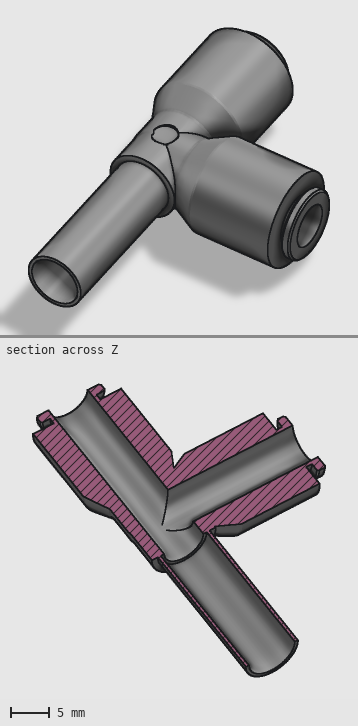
import cadquery as cq
import math


socket_diameter = 13.5
socket_radius = socket_diameter / 2
collar_end = 22.1
body_end = 19.95
shoulder_start = 4.4
shoulder_end = 7.95
shoulder_blend = 0.75
collar_flange_width = 1.3
collar_flange_radius = 4.95
collar_flange_edge = 0.25
collar_stem_radius = 3.6

neck_radius = 5.0
tail_radius = 4.9
tail_taper_length = 0.45
neck_bottom = -5.45

overall_length = 48.45
tube_end = collar_end - overall_length
tube_diameter = 8.0
tube_radius = tube_diameter / 2
tube_inner_radius = 3.5

bore_diameter = 5.95
bore_radius = bore_diameter / 2
recess_radius = 1.75
recess_floor = math.sqrt(neck_radius**2 - recess_radius**2)


def cylinder_along_y(radius, start, end):
    plane = cq.Workplane("XZ", origin=(0, start, 0))
    return plane.circle(radius).extrude(start - end)


def socket():
    """Solid neck, conical shoulder, socket body and release collar along +Y."""
    body = (
        cq.Workplane("XY")
        .moveTo(0, 0)
        .lineTo(neck_radius, 0)
        .lineTo(neck_radius, shoulder_start)
        .lineTo(socket_radius, shoulder_end)
        .lineTo(socket_radius, body_end)
        .lineTo(0, body_end)
        .close()
        .revolve(360, (0, 0, 0), (0, 1, 0))
    )
    body_mid = (shoulder_end + body_end) / 2
    near_shoulder = cq.selectors.BoxSelector(
        (-socket_radius, shoulder_start / 2, -socket_radius),
        (socket_radius, body_mid, socket_radius),
        boundingbox=False,
    )
    shoulder_rims = body.edges("%CIRCLE").edges(near_shoulder)
    body = shoulder_rims.fillet(shoulder_blend)

    flange_start = collar_end - collar_flange_width
    stem = cylinder_along_y(collar_stem_radius, body_end, flange_start)
    flange = cylinder_along_y(collar_flange_radius, flange_start, collar_end)
    flange = flange.faces("<Y or >Y").edges().chamfer(collar_flange_edge)
    return body.union(stem).union(flange)


def tail():
    """Tube-side half of the neck, tapering from the neck to the slimmer radius."""
    return (
        cq.Workplane("XY")
        .moveTo(0, 0)
        .lineTo(neck_radius, 0)
        .lineTo(tail_radius, -tail_taper_length)
        .lineTo(tail_radius, neck_bottom)
        .lineTo(0, neck_bottom)
        .close()
        .revolve(360, (0, 0, 0), (0, 1, 0))
    )


run_socket = socket()
branch_socket = run_socket.rotate((0, 0, 0), (0, 0, 1), -90)
tube = cylinder_along_y(tube_radius, neck_bottom, tube_end)
outer = run_socket.union(tail()).union(branch_socket).union(tube)

run_bore = cylinder_along_y(bore_radius, tube_end, collar_end)
branch_bore = cylinder_along_y(bore_radius, 0, collar_end).rotate((0, 0, 0), (0, 0, 1), -90)
tube_bore = cylinder_along_y(tube_inner_radius, tube_end, neck_bottom)

recess_depth = neck_radius - recess_floor
recess = cq.Workplane("XY", origin=(0, 0, recess_floor)).circle(recess_radius).extrude(recess_depth)

result = outer.cut(run_bore).cut(branch_bore).cut(tube_bore).cut(recess)